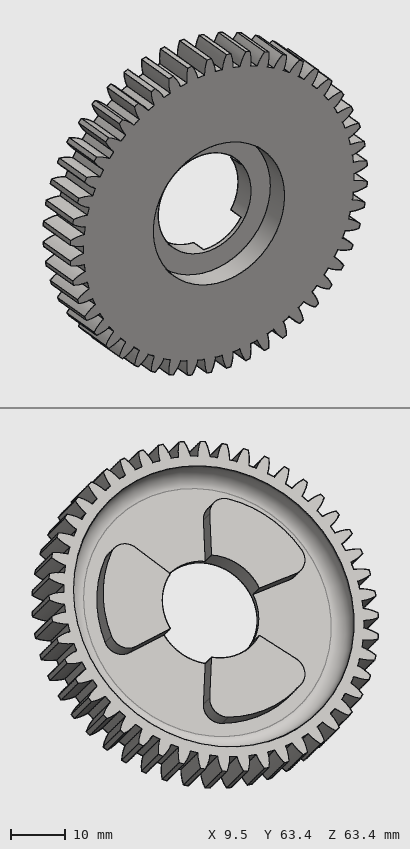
import cadquery as cq
import math

tooth_count = 48
face_width = 9.5
overall_size = 63.4
foot_width = 2.35
pitch_width = 1.85
tip_width = 0.95
dedendum_ratio = 1.25

recess_radius = 27.0
recess_depth = 3.55
recess_fillet = 3.2

bore_radius = 9.9
seat_radius = 14.0
lip_thickness = 1.0
seat_depth = face_width - recess_depth - lip_thickness

dog_count = 3
dog_outer_radius = 21.3
dog_half_angle = math.radians(32.5)
dog_corner_radius = 3.2

tooth_pitch = 2 * math.pi / tooth_count
tip_corner_angle = tooth_pitch / 2 - tip_width / overall_size
tip_radius = overall_size / 2 / math.cos(tip_corner_angle)
module = 2 * tip_radius / (tooth_count + 2)
pitch_radius = tip_radius - module
root_radius = pitch_radius - dedendum_ratio * module

front_face = cq.Workplane("YZ")


def polar(radius, angle):
    return (radius * math.cos(angle), radius * math.sin(angle))


def gear_blank():
    """Toothed disc with arc-shaped tooth flanks and round tip and root lands."""
    foot_angle = foot_width / 2 / root_radius
    pitch_angle = pitch_width / 2 / pitch_radius
    tip_angle = tip_width / 2 / tip_radius
    first_centre = tooth_pitch / 2
    outline = front_face.moveTo(*polar(root_radius, first_centre - foot_angle))
    for tooth in range(tooth_count):
        centre = first_centre + tooth * tooth_pitch
        gap_centre = centre + tooth_pitch / 2
        next_foot = centre + tooth_pitch - foot_angle
        outline = (
            outline
            .threePointArc(polar(pitch_radius, centre - pitch_angle), polar(tip_radius, centre - tip_angle))
            .threePointArc(polar(tip_radius, centre), polar(tip_radius, centre + tip_angle))
            .threePointArc(polar(pitch_radius, centre + pitch_angle), polar(root_radius, centre + foot_angle))
            .threePointArc(polar(root_radius, gap_centre), polar(root_radius, next_foot))
        )
    return outline.close().extrude(face_width)


def recess():
    """Round pocket starting at the front face, with a rounded edge around its floor."""
    pocket = front_face.circle(recess_radius).extrude(recess_depth)
    return pocket.faces(">X").edges().fillet(recess_fillet)


def dog():
    """Sector from the front face to the web, centred on +Y, with rounded outer corners."""
    sector = (
        front_face.lineTo(*polar(dog_outer_radius, -dog_half_angle))
        .threePointArc((dog_outer_radius, 0), polar(dog_outer_radius, dog_half_angle))
        .close()
        .extrude(recess_depth)
    )
    return sector.edges("|X").edges(">Z or <Z").fillet(dog_corner_radius)


result = gear_blank().cut(recess())

for index in range(dog_count):
    result = result.union(dog().rotate((0, 0, 0), (1, 0, 0), index * 360 / dog_count))

bore = front_face.circle(bore_radius).extrude(face_width)
seat = front_face.workplane(offset=face_width).circle(seat_radius).extrude(-seat_depth)
result = result.cut(bore).cut(seat)